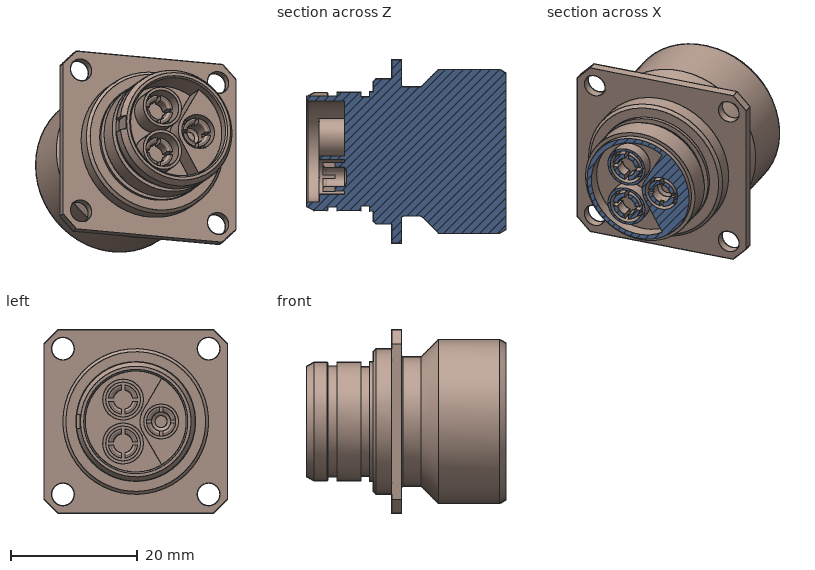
import cadquery as cq
import math

total_length = 31.5
tip_chamfer_end = 1.23
front_groove_start = 3.37
front_groove_end = 4.82
rear_groove_start = 8.63
rear_groove_end = 9.92
flange_start = 10.52
plate_start = 13.45
plate_thickness = 1.58
neck_end = 18.1
rear_chamfer_length = 1.0

tip_radius = 8.73
land_radius = 9.4
front_groove_radius = 8.8
rear_groove_radius = 8.65
collar_radius = 9.45
flange_radius = 11.5
flange_chamfer = 0.47
neck_radius = 10.25
neck_root_chamfer = 0.2
body_radius = 12.98
rear_chamfer_height = 0.6
land_edge_chamfer = 0.15

plate_size = 29.0
plate_corner_chamfer = 2.25
mount_hole_spacing = 23.0
mount_hole_diameter = 3.53

notch_width = 2.15

rim_inner_radius = 8.22
cavity_radius = 7.97
cavity_depth = 6.0

contact_circle_radius = 4.0
insert_face = 2.0
tower_radius = 3.2
wedge_nose_radius = 3.35
wedge_flank_angle = 60.0
well_radius = 2.75
line_contact_tip = 3.6
earth_contact_tip = 2.58
contact_outer_radius = 2.3
contact_bore_radius = 1.5
contact_mouth_round = 0.47
contact_slot_width = 0.55
earth_slot_depth = 1.9
earth_bore_end_radius = 0.95
earth_cone_depth = 0.3

plate_end = plate_start + plate_thickness
shoulder_end = neck_end + body_radius - neck_radius
earth_angle = 180.0
line_angles = [earth_angle - 120.0, earth_angle + 120.0]


def at_x(x):
    """Sketch plane normal to +X at station x; local axes are Y and Z."""
    return cq.Workplane("YZ", origin=(x, 0, 0))


def disc(x, length, radius):
    return at_x(x).circle(radius).extrude(length)


def contact_center(angle):
    return (
        contact_circle_radius * math.cos(math.radians(angle)),
        contact_circle_radius * math.sin(math.radians(angle)),
    )


def revolve_about_x(points):
    return cq.Workplane("XY").polyline(points).close().revolve(360, (0, 0, 0), (1, 0, 0))


def make_shell():
    return revolve_about_x([
        (0, 0),
        (0, tip_radius),
        (tip_chamfer_end, land_radius),
        (front_groove_start - land_edge_chamfer, land_radius),
        (front_groove_start, land_radius - land_edge_chamfer),
        (front_groove_start, front_groove_radius),
        (front_groove_end, front_groove_radius),
        (front_groove_end, land_radius),
        (rear_groove_start, land_radius),
        (rear_groove_start, rear_groove_radius),
        (rear_groove_end, rear_groove_radius),
        (rear_groove_end, collar_radius),
        (flange_start, collar_radius),
        (flange_start, flange_radius - flange_chamfer),
        (flange_start + flange_chamfer, flange_radius),
        (plate_start, flange_radius),
        (plate_start, neck_radius + neck_root_chamfer),
        (plate_end, neck_radius + neck_root_chamfer),
        (plate_end + neck_root_chamfer, neck_radius),
        (neck_end, neck_radius),
        (shoulder_end, body_radius),
        (total_length - rear_chamfer_length, body_radius),
        (total_length, body_radius - rear_chamfer_height),
        (total_length, 0),
    ])


def make_plate():
    plate = at_x(plate_start).rect(plate_size, plate_size).extrude(plate_thickness)
    plate = plate.edges("|X").chamfer(plate_corner_chamfer)
    holes = (
        at_x(plate_start)
        .rect(mount_hole_spacing, mount_hole_spacing, forConstruction=True)
        .vertices()
        .circle(mount_hole_diameter / 2)
        .extrude(plate_thickness)
    )
    return plate.cut(holes)


def make_notch():
    depth = collar_radius - front_groove_radius
    return cq.Workplane("XY").box(
        front_groove_start, depth, notch_width, centered=(False, False, True)
    ).translate((0, front_groove_radius, 0))


def make_cavity():
    rim_chamfer = rim_inner_radius - cavity_radius
    return revolve_about_x([
        (0, 0),
        (0, rim_inner_radius),
        (rim_chamfer, cavity_radius),
        (cavity_depth, cavity_radius),
        (cavity_depth, 0),
    ])


def make_earth_wedge():
    """Raised block with a round nose about the earth contact, its straight flanks running out to the cavity wall."""
    nose_center_y = contact_center(earth_angle)[0]
    slope = math.radians(wedge_flank_angle)
    tangent_y = nose_center_y + wedge_nose_radius * math.sin(slope)
    tangent_z = wedge_nose_radius * math.cos(slope)
    flank_length = 2 * cavity_radius
    end_y = tangent_y - flank_length * math.cos(slope)
    end_z = tangent_z + flank_length * math.sin(slope)
    height = cavity_depth - insert_face
    wedge = (
        at_x(insert_face)
        .moveTo(end_y, -end_z)
        .lineTo(tangent_y, -tangent_z)
        .threePointArc((nose_center_y + wedge_nose_radius, 0), (tangent_y, tangent_z))
        .lineTo(end_y, end_z)
        .close()
        .extrude(height)
    )
    return wedge.intersect(disc(insert_face, height, rim_inner_radius))


def make_contact(tip, slot_end):
    """Tubular contact on the X axis, rounded inside its mouth and split by four slots."""
    contact = disc(tip, cavity_depth - tip, contact_outer_radius)
    contact = contact.cut(disc(tip, cavity_depth - tip, contact_bore_radius))
    mouth_edge = contact.faces("<X").edges(cq.selectors.RadiusNthSelector(0))
    contact = mouth_edge.fillet(contact_mouth_round)
    slot_length = 2 * contact_outer_radius
    for slot_size in [(slot_length, contact_slot_width), (contact_slot_width, slot_length)]:
        contact = contact.cut(at_x(tip).rect(*slot_size).extrude(slot_end - tip))
    return contact


def make_earth_bore_cone():
    """Conical bottom of the earth contact bore, on the X axis."""
    cone_end_x = cavity_depth + earth_cone_depth
    return revolve_about_x([
        (cavity_depth, 0),
        (cavity_depth, contact_bore_radius),
        (cone_end_x, earth_bore_end_radius),
        (cone_end_x, 0),
    ])


def place(solid, center):
    return solid.translate((0, *center))


result = make_shell().union(make_plate()).cut(make_notch()).cut(make_cavity())

tower_height = cavity_depth - insert_face
tower = disc(insert_face, tower_height, tower_radius)
well = disc(insert_face, tower_height, well_radius)
line_contact = make_contact(line_contact_tip, cavity_depth)
for angle in line_angles:
    center = contact_center(angle)
    result = result.union(place(tower.cut(well).union(line_contact), center))

earth_center = contact_center(earth_angle)
earth_contact = make_contact(earth_contact_tip, earth_contact_tip + earth_slot_depth)
result = result.union(make_earth_wedge().cut(place(well, earth_center)))
result = result.union(place(earth_contact, earth_center))
result = result.cut(place(make_earth_bore_cone(), earth_center))